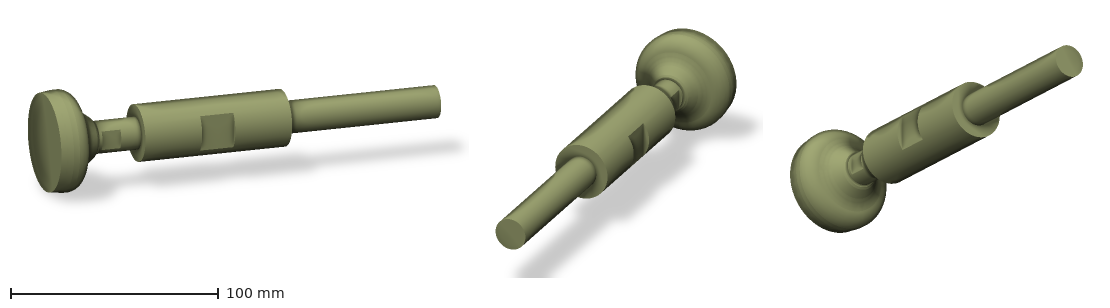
import cadquery as cq

TOTAL_LENGTH = 200.0

SPINDLE_RADIUS = 8.0
SPINDLE_SHOULDER_Y = 25.5
NECK_RADIUS = 6.5
SPINDLE_FLAT_START = 26.8
SPINDLE_FLAT_LENGTH = 9.5
SPINDLE_ACROSS_FLATS = 13.0

SLEEVE_RADIUS = 14.0
SLEEVE_START = 46.5
SLEEVE_LENGTH = 75.0
SLEEVE_FLAT_LENGTH = 17.0
SLEEVE_ACROSS_FLATS = 22.0

FOOT_RADIUS = 25.0
FOOT_BASE_RADIUS = 24.2
FOOT_TOP_Y = 24.5
FOOT_TOP_RADIUS = 8.8
RIM_Y = 23.5
RIM_RADIUS = 9.8
CONE_END_Y = 19.5
CONE_END_RADIUS = 13.0
SHOULDER_Y = 16.0
SHOULDER_RADIUS = 18.5
SHOULDER_ARC_RADIUS = 8.0
BAND_TOP_Y = 9.2
BAND_BOTTOM_Y = 6.2


def cylinder(radius, start, length):
    """Solid cylinder along +Y, beginning at Y = start."""
    return cq.Workplane(cq.Solid.makeCylinder(radius, length, cq.Vector(0, start, 0), cq.Vector(0, 1, 0)))


def cut_flats(body, radius, start, length, across_flats):
    """Mill two parallel wrench flats on the -X and +X sides."""
    width = 2 * radius
    for side in (-1, 1):
        cutter = cq.Workplane().box(width, length, 2 * width)
        x = side * (across_flats + width) / 2
        body = body.cut(cutter.translate((x, start + length / 2, 0)))
    return body


def make_spindle():
    """Round rod with wrench flats and a narrower neck standing on the foot."""
    rod = cylinder(SPINDLE_RADIUS, SPINDLE_SHOULDER_Y, TOTAL_LENGTH - SPINDLE_SHOULDER_Y)
    rod = cut_flats(rod, SPINDLE_RADIUS, SPINDLE_FLAT_START, SPINDLE_FLAT_LENGTH, SPINDLE_ACROSS_FLATS)
    neck = cylinder(NECK_RADIUS, FOOT_TOP_Y, SPINDLE_SHOULDER_Y - FOOT_TOP_Y)
    return rod.union(neck)


def make_sleeve():
    """Tube around the spindle with wrench flats at mid-length."""
    sleeve = cylinder(SLEEVE_RADIUS, SLEEVE_START, SLEEVE_LENGTH)
    sleeve = sleeve.cut(cylinder(SPINDLE_RADIUS, SLEEVE_START, SLEEVE_LENGTH))
    flat_start = SLEEVE_START + (SLEEVE_LENGTH - SLEEVE_FLAT_LENGTH) / 2
    return cut_flats(sleeve, SLEEVE_RADIUS, flat_start, SLEEVE_FLAT_LENGTH, SLEEVE_ACROSS_FLATS)


def make_foot():
    """Bell-shaped foot: tapered base, short band, round shoulder, hollow flare, cone and rim."""
    return (
        cq.Workplane("XY")
        .moveTo(0, FOOT_TOP_Y)
        .lineTo(FOOT_TOP_RADIUS, FOOT_TOP_Y)
        .lineTo(RIM_RADIUS, RIM_Y)
        .lineTo(CONE_END_RADIUS, CONE_END_Y)
        .tangentArcPoint((SHOULDER_RADIUS, SHOULDER_Y), relative=False)
        .radiusArc((FOOT_RADIUS, BAND_TOP_Y), SHOULDER_ARC_RADIUS)
        .lineTo(FOOT_RADIUS, BAND_BOTTOM_Y)
        .lineTo(FOOT_BASE_RADIUS, 0)
        .lineTo(0, 0)
        .close()
        .revolve(360, (0, 0, 0), (0, 1, 0))
    )


spindle = make_spindle()
sleeve = make_sleeve()
foot = make_foot()

result = cq.Compound.makeCompound([spindle.val(), sleeve.val(), foot.val()])